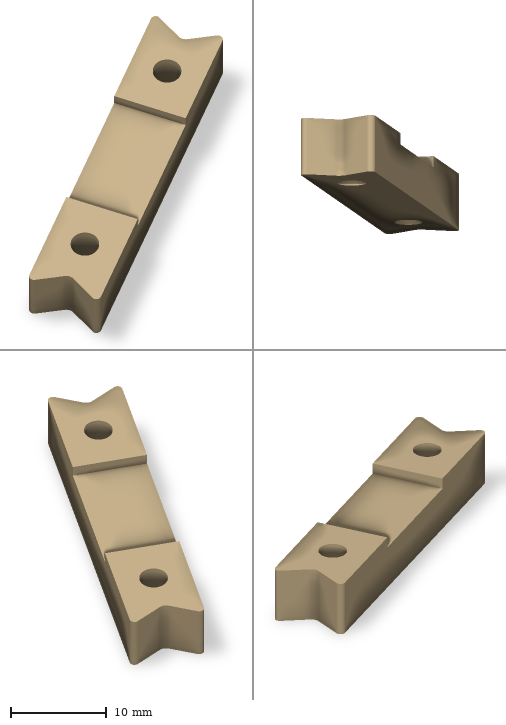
import cadquery as cq
import math

width = 8.0
length = 36.5
height = 6.0

flank_angle = math.radians(30)
tip_radius = 0.5
root_radius = 1.0

recess_length = 13.98
recess_depth = 1.2

hole_diameter = 3.0
hole_spacing = 23.97

half_width = width / 2
tip_center_y = length / 2 - tip_radius
sharp_tip_y = tip_center_y + tip_radius * (math.tan(flank_angle) + 1 / math.cos(flank_angle))
sharp_root_y = sharp_tip_y - half_width * math.tan(flank_angle)


def notched_bar():
    """Bar with a rounded V notch in both ends, standing on Z = 0."""
    outline = [
        (-half_width, -sharp_tip_y),
        (0, -sharp_root_y),
        (half_width, -sharp_tip_y),
        (half_width, sharp_tip_y),
        (0, sharp_root_y),
        (-half_width, sharp_tip_y),
    ]
    bar = cq.Workplane("XY").polyline(outline).close().extrude(height)
    side_faces = bar.faces("<X or >X")
    bar = side_faces.edges("|Z").fillet(tip_radius)
    root_selector = cq.selectors.BoxSelector(
        (-root_radius, -length, -height), (root_radius, length, 2 * height)
    )
    return bar.edges("|Z").edges(root_selector).fillet(root_radius)


recess = (
    cq.Workplane("XY")
    .workplane(offset=height - recess_depth)
    .rect(width, recess_length)
    .extrude(recess_depth)
)

holes = (
    cq.Workplane("XY")
    .pushPoints([(0, -hole_spacing / 2), (0, hole_spacing / 2)])
    .circle(hole_diameter / 2)
    .extrude(height)
)

result = notched_bar().cut(recess).cut(holes)